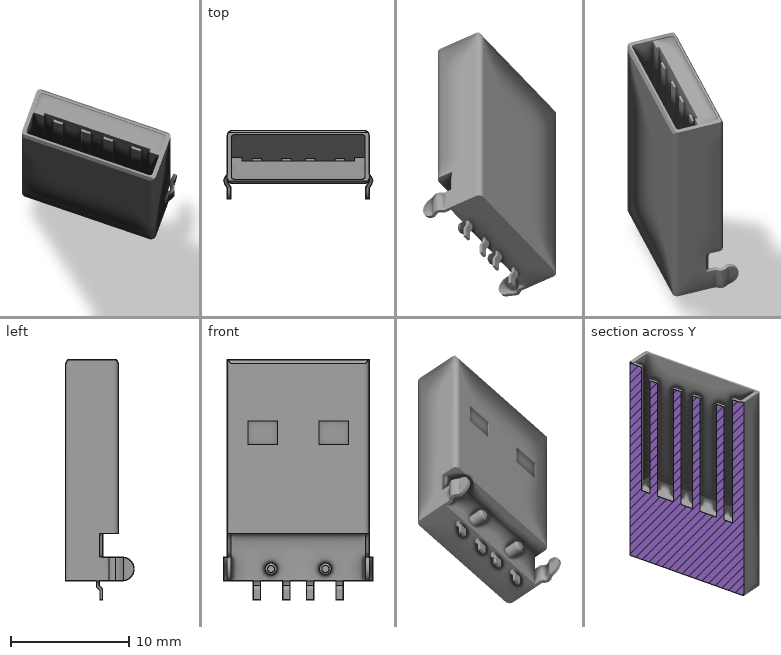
import cadquery as cq
import math

shell_width = 12.0
shell_depth = 4.5
shell_height = 18.7
shell_corner_radius = 0.45
wall = 0.36
foot_wall = 0.3
mouth_corner_radius = 0.25
rim_chamfer_depth = 0.2
rim_chamfer_height = 0.35

side_x = shell_width / 2
front_y = -shell_depth / 2
back_y = shell_depth / 2

foot_height = 4.0
leg_height = 2.0
notch_back_y = -0.62
notch_corner_radius = 0.12

window_width = 2.5
window_height = 2.0
window_offset_x = 3.0
window_center_z = 12.5
window_recess = 0.15

cavity_depth = 12.0
insulator_recess = 0.1
insulator_front_y = -0.92
ledge_y = -0.055
tongue_y = -0.32
tongue_channel_width = 9.5

contact_positions = (-3.5, -1.0, 1.0, 3.5)
contact_width = 0.84
contact_rise = 0.2
contact_corner_radius = 0.12
contact_setback = 1.0

pin_width = 0.64
pin_thickness = 0.24
pin_length = 1.6
pin_back_y = -0.37
pin_joggle = 0.28
pin_bend_z = -0.4
pin_bend_radius = 0.28
pin_root = 0.5

peg_offset_x = 2.3
peg_z = 1.0
peg_radius = 0.5
peg_chamfer = 0.2

leg_tip_y = -3.55
leg_bend = (
    (0, insulator_front_y),
    (0, -1.45),
    (0.19, -1.71),
    (0.305, -1.97),
    (0.2, -2.305),
    (0, -2.64),
    (0, leg_tip_y),
)


def box(x_range, y_range, z_range):
    """Box spanning the given coordinate ranges."""
    sizes = [high - low for low, high in (x_range, y_range, z_range)]
    corner = (x_range[0], y_range[0], z_range[0])
    return cq.Workplane("XY").box(*sizes, centered=False).translate(corner)


def make_tube_body():
    """Filled shell envelope with the front and back rim edges bevelled."""
    body = cq.Workplane("XY").rect(shell_width, shell_depth).extrude(shell_height)
    body = body.edges("|Z").fillet(shell_corner_radius)
    rim_z = shell_height - rim_chamfer_height
    rim_y = back_y - rim_chamfer_depth
    bevel = (
        cq.Workplane("YZ")
        .polyline([(rim_y, shell_height), (back_y, rim_z), (back_y, shell_height)])
        .close()
        .extrude(side_x, both=True)
    )
    return body.cut(bevel).cut(bevel.mirror("XZ"))


def make_mouth():
    """Rounded opening of the tube, down to the cavity floor."""
    return (
        cq.Workplane("XY")
        .workplane(offset=shell_height - cavity_depth)
        .rect(shell_width - 2 * wall, shell_depth - 2 * wall)
        .extrude(cavity_depth)
        .edges("|Z")
        .fillet(mouth_corner_radius)
    )


def make_tongue(mouth):
    """Insulator tongue filling the front of the mouth, with ledges along its edges."""
    floor_z = shell_height - cavity_depth
    z_range = (floor_z, shell_height - insulator_recess)
    half_channel = tongue_channel_width / 2
    tongue = box((-side_x, side_x), (front_y, ledge_y), z_range)
    tongue = tongue.cut(box((-half_channel, half_channel), (tongue_y, ledge_y), z_range))
    return tongue.intersect(mouth)


def make_contact(x):
    """Raised contact strip along the tongue."""
    half_width = contact_width / 2
    floor_z = shell_height - cavity_depth
    strip = box(
        (x - half_width, x + half_width),
        (tongue_y - contact_rise, tongue_y + contact_rise),
        (floor_z, shell_height - insulator_recess - contact_setback),
    )
    return strip.edges("|Z and >Y").fillet(contact_corner_radius)


def make_foot_cut():
    """Space in front of the insulator foot, with the notch through both side walls."""
    inner_x = side_x - foot_wall
    front_space = box((-inner_x, inner_x), (front_y, insulator_front_y), (0, foot_height))
    leg_space = box((-side_x, side_x), (front_y, insulator_front_y), (0, leg_height))
    notch = box((inner_x, side_x), (front_y, notch_back_y), (leg_height, foot_height))
    notch = notch.edges("|X and >Y").fillet(notch_corner_radius)
    return front_space.union(leg_space).union(notch).union(notch.mirror("YZ"))


def make_window(x):
    """Shallow latch window recess in the front wall."""
    half_width = window_width / 2
    half_height = window_height / 2
    return box(
        (x - half_width, x + half_width),
        (front_y, front_y + window_recess),
        (window_center_z - half_height, window_center_z + half_height),
    )


def sheet_inner_points(points):
    """Points one sheet thickness inside a mostly -Y running path, mitred at each bend."""
    headings = [math.atan2(y1 - y0, x1 - x0) for (x0, y0), (x1, y1) in zip(points, points[1:])]
    arrivals = headings[:1] + headings
    departures = headings + headings[-1:]
    inner = []
    for (x, y), arrival, departure in zip(points, arrivals, departures):
        normal = (arrival + departure) / 2 - math.pi / 2
        reach = foot_wall / math.cos((departure - arrival) / 2)
        inner.append((x + reach * math.cos(normal), y + reach * math.sin(normal)))
    return inner


def make_leg():
    """Right-hand leg: the side wall jogs outward, then returns to a rounded tip."""
    outer = [(side_x + offset, y) for offset, y in leg_bend]
    inner = sheet_inner_points(outer)
    strip = cq.Workplane("XY").polyline(outer + inner[::-1]).close().extrude(leg_height)
    tip_radius = leg_height / 2
    side_outline = (
        cq.Workplane("YZ")
        .moveTo(insulator_front_y, 0)
        .lineTo(leg_tip_y + tip_radius, 0)
        .threePointArc((leg_tip_y, tip_radius), (leg_tip_y + tip_radius, leg_height))
        .lineTo(insulator_front_y, leg_height)
        .close()
        .extrude(shell_width)
    )
    return strip.intersect(side_outline)


def make_pin(x):
    """Solder pin with a 45 degree joggle toward the front."""
    upper_front_y = pin_back_y - pin_thickness
    lower_back_y = pin_back_y - pin_joggle
    lower_front_y = upper_front_y - pin_joggle
    back_bend_z = pin_bend_z - pin_thickness / 2
    pin = (
        cq.Workplane("YZ")
        .workplane(offset=x - pin_width / 2)
        .polyline([
            (pin_back_y, pin_root),
            (pin_back_y, back_bend_z),
            (lower_back_y, back_bend_z - pin_joggle),
            (lower_back_y, -pin_length),
            (lower_front_y, -pin_length),
            (lower_front_y, pin_bend_z - pin_joggle),
            (upper_front_y, pin_bend_z),
            (upper_front_y, pin_root),
        ])
        .close()
        .extrude(pin_width)
    )
    lower_bend = cq.selectors.NearestToPointSelector((x, lower_front_y, pin_bend_z - pin_joggle))
    return pin.edges("|X").edges(lower_bend).fillet(pin_bend_radius)


def make_peg(x):
    """Locating peg from the insulator foot out to the plane of the front wall."""
    peg = (
        cq.Workplane("XZ", origin=(x, insulator_front_y, peg_z))
        .circle(peg_radius)
        .extrude(insulator_front_y - front_y)
    )
    return peg.faces("<Y").chamfer(peg_chamfer)


mouth = make_mouth()
result = make_tube_body().cut(mouth).union(make_tongue(mouth)).cut(make_foot_cut())

for contact_x in contact_positions:
    result = result.union(make_contact(contact_x)).union(make_pin(contact_x))

for side in (-1, 1):
    result = result.cut(make_window(side * window_offset_x))
    result = result.union(make_peg(side * peg_offset_x))

leg = make_leg()
result = result.union(leg).union(leg.mirror("YZ"))